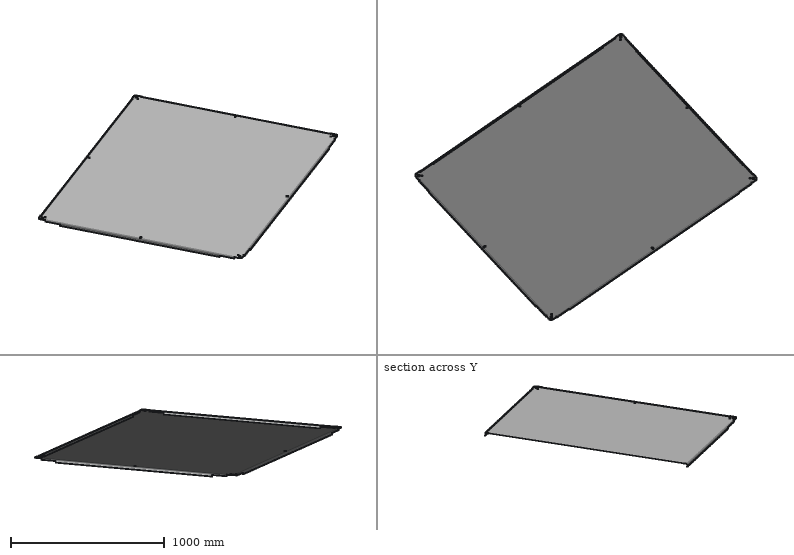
import cadquery as cq

width = 1420.0
length = 1725.0
height = 22.0

sheet = 2.6
bend_radius = 6.0

corner_tab = 50.0
corner_radius = 16.4

end_depth = 12.0
step_inset = 154.0

corner_hole_diameter = 12.8
corner_hole_inset = 20.0
pilot_hole_diameter = 7.0
pilot_hole_inset = 36.0
slot_length = 15.0
slot_width = pilot_hole_diameter
slot_inset = 17.0


def folded_edge(edge_distance, span, depth):
    """Bent strip along X, centred on X = 0, folding down at Y = edge_distance."""
    bend_start = edge_distance - bend_radius
    inner_face = edge_distance - sheet
    inner_radius = bend_radius - sheet
    profile = (
        cq.Workplane("YZ", origin=(-span / 2, 0, 0))
        .moveTo(bend_start, 0)
        .radiusArc((edge_distance, -bend_radius), bend_radius)
        .lineTo(edge_distance, -depth)
        .lineTo(inner_face, -depth)
        .lineTo(inner_face, -bend_radius)
        .radiusArc((bend_start, -sheet), -inner_radius)
        .close()
    )
    return profile.extrude(span)


def flange(edge_distance, edge_length):
    """Stepped flange for one panel edge."""
    shallow = folded_edge(edge_distance, edge_length - 2 * corner_tab, end_depth)
    deep = folded_edge(edge_distance, edge_length - 2 * step_inset, height)
    return shallow.union(deep)


def flat_panel():
    """Flat sheet whose corner tabs reach the full outline, cut back along the bends."""
    panel = cq.Workplane("XY").rect(width, length).extrude(-sheet)
    panel = panel.edges("|Z").fillet(corner_radius)
    end_strips = (
        cq.Workplane("XY")
        .pushPoints([(0, length / 2), (0, -length / 2)])
        .rect(width - 2 * corner_tab, 2 * bend_radius)
        .extrude(-sheet)
    )
    side_strips = (
        cq.Workplane("XY")
        .pushPoints([(width / 2, 0), (-width / 2, 0)])
        .rect(2 * bend_radius, length - 2 * corner_tab)
        .extrude(-sheet)
    )
    return panel.cut(end_strips).cut(side_strips)


def corner_holes(diameter, inset):
    """Four through holes, each set in equally from both edges of its corner."""
    return (
        cq.Workplane("XY")
        .rect(width - 2 * inset, length - 2 * inset, forConstruction=True)
        .vertices()
        .circle(diameter / 2)
        .extrude(-sheet)
    )


def edge_slots(points, angle):
    """Through slots centred on the given points, turned to the given angle."""
    return cq.Workplane("XY").pushPoints(points).slot2D(slot_length, slot_width, angle).extrude(-sheet)


result = flat_panel()
end_flange = flange(length / 2, width)
side_flange = flange(width / 2, length)
for turn in (0, 180):
    result = result.union(end_flange.rotate((0, 0, 0), (0, 0, 1), turn))
    result = result.union(side_flange.rotate((0, 0, 0), (0, 0, 1), turn + 90))

result = result.cut(corner_holes(corner_hole_diameter, corner_hole_inset))
result = result.cut(corner_holes(pilot_hole_diameter, pilot_hole_inset))

slot_x = width / 2 - slot_inset
slot_y = length / 2 - slot_inset
result = result.cut(edge_slots([(0, slot_y), (0, -slot_y)], 90))
result = result.cut(edge_slots([(slot_x, 0), (-slot_x, 0)], 0))